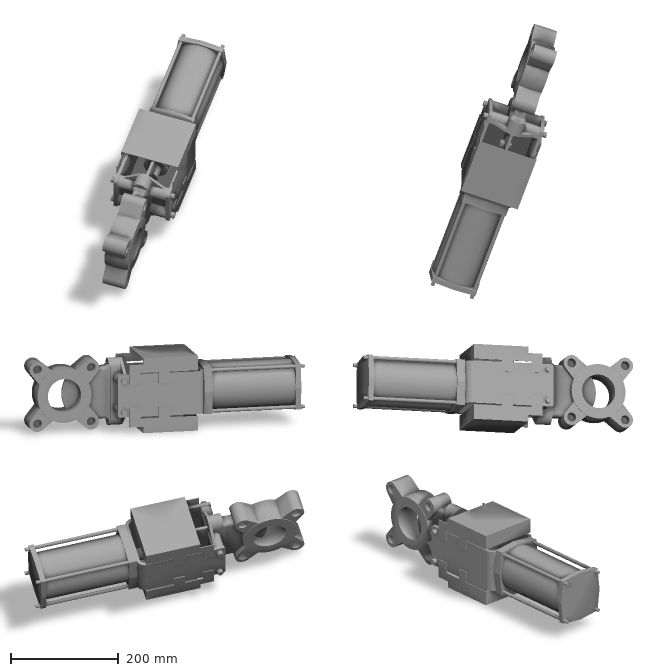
import cadquery as cq
import math


OVERALL_LENGTH = 520.5

BORE_RADIUS = 31.5
RING_RADIUS = 52.5
RING_DRAFT = 1.0
RING_HALF_WIDTH = 23.0
LUG_SPACING = 102.5
LUG_OFFSET = LUG_SPACING / 2
LUG_RADIUS = 15.0
LUG_ROOT_HALF_HEIGHT = 20.0
LUG_HALF_WIDTH = 22.0
LUG_HOLE_RADIUS = 8.5
LUG_HOLE_DEPTH = 15.5

NECK_HALF_WIDTH = 12.0
NECK_HALF_HEIGHT = 49.5
NECK_EDGE_RADIUS = 6.0
NECK_CORE_HALF_HEIGHT = 31.0
FLARE_LENGTH = 6.0
FLARE_GROWTH_X = 2.5
FLARE_GROWTH_Z = 3.5

BOX_END = 87.0
BOX_TOP = 114.0
BOX_LIP_TOP = 90.0
BOX_HALF_WIDTH = 15.5
BOX_HALF_HEIGHT = 63.5
LIP_INSET = 1.0

FLANGE_THICKNESS = 5.0
FLANGE_HALF_HEIGHT = 38.5
GUSSET_FOOT_X = 39.5
GUSSET_TOP_X = 11.5
GUSSET_TOP_Z = 59.5
BOSS_RADIUS = 11.0
BOLT_Y = 105.0
BOLT_Z = 29.5
BOLT_RADIUS = 5.0
BOLT_END_X = 62.0

YOKE_HALF_WIDTH = 54.0
YOKE_HALF_HEIGHT = 40.0
YOKE_THICKNESS = 6.0
YOKE_END = 94.0
YOKE_TOP = 261.0
YOKE_BEND_RADIUS = 15.0
YOKE_CORNER_RADIUS = 5.0

GUARD_THICKNESS = 1.5
GUARD_TOP = 246.5
GUARD_HEIGHT = 142.0
GUARD_HALF_HEIGHT = GUARD_HEIGHT / 2
GUARD_EDGE_Z = 43.0
GUARD_LENGTH = 104.0
GUARD_SKIRT_Z = 59.0
TAB_Z = 22.5
TAB_WIDTH = 21.0
TAB_ENDS = (116.0, 172.0)

CAP_CORNER = 43.0
CAP_WIDTH = 96.0
CAP_CREST = CAP_WIDTH / 2
LOWER_CAP_THICKNESS = 15.5
UPPER_CAP_THICKNESS = 10.0
BARREL_RADIUS = 45.0
BARREL_LENGTH = 159.0
TIE_ROD_OFFSET = 38.5
TIE_ROD_RADIUS = 3.4
CYLINDER_END = OVERALL_LENGTH - LUG_OFFSET - LUG_RADIUS

GATE_THICKNESS = 5.0
GATE_HALF_HEIGHT = 40.0
GATE_END_RADIUS = 57.0
GATE_TOP = 197.5
STEM_RADIUS = 11.5
STEM_END = 154.0
COLLAR_RADIUS = 23.0
COLLAR_START = 176.0
COLLAR_LENGTH = 15.5


def box(x0, x1, y0, y1, z0, z1):
    """Box between two opposite corners."""
    return cq.Workplane("XY").box(x1 - x0, y1 - y0, z1 - z0, centered=False).translate((x0, y0, z0))


def centred_box(half_x, y0, y1, half_z):
    """Box centred on the stem axis."""
    return box(-half_x, half_x, y0, y1, -half_z, half_z)


def x_cylinder(radius, y, z, half_length):
    """Cylinder along X, centred on X = 0."""
    return cq.Workplane("YZ").center(y, z).circle(radius).extrude(half_length, both=True)


def y_cylinder(radius, x, z, y0, y1):
    """Cylinder along Y from y0 up to y1; the XZ plane faces -Y, so the extrusion is negative."""
    return cq.Workplane("XZ", origin=(x, y0, z)).circle(radius).extrude(y0 - y1)


def make_ring():
    """Ring blank, widest at the mid plane."""
    face_radius = RING_RADIUS - RING_DRAFT
    rim_profile = [
        (-RING_HALF_WIDTH, 0),
        (-RING_HALF_WIDTH, face_radius),
        (0, RING_RADIUS),
        (RING_HALF_WIDTH, face_radius),
        (RING_HALF_WIDTH, 0),
    ]
    return cq.Workplane("XY").polyline(rim_profile).close().revolve(360, (0, 0, 0), (1, 0, 0))


def make_lug(angle):
    """Lug pointing away from the bore at an angle in the YZ plane."""
    reach = LUG_OFFSET * math.sqrt(2)
    arm_outline = [
        (BORE_RADIUS, -LUG_ROOT_HALF_HEIGHT),
        (reach, -LUG_RADIUS),
        (reach, LUG_RADIUS),
        (BORE_RADIUS, LUG_ROOT_HALF_HEIGHT),
    ]
    arm = cq.Workplane("YZ").polyline(arm_outline).close().extrude(LUG_HALF_WIDTH, both=True)
    lug = arm.union(x_cylinder(LUG_RADIUS, reach, 0, LUG_HALF_WIDTH))
    return lug.rotate((0, 0, 0), (1, 0, 0), angle)


def make_lug_hole_pair(y, z):
    """Blind hole from each face of one lug."""
    hole = x_cylinder(LUG_HOLE_RADIUS, y, z, LUG_HALF_WIDTH)
    web = x_cylinder(LUG_HOLE_RADIUS, y, z, LUG_HALF_WIDTH - LUG_HOLE_DEPTH)
    return hole.cut(web)


def neck_section(growth_x, growth_z):
    """Rounded rectangle, larger than the neck by the given growth on each side."""
    width = 2 * (NECK_HALF_WIDTH + growth_x)
    height = 2 * (NECK_HALF_HEIGHT + growth_z)
    return cq.Sketch().rect(width, height).vertices().fillet(NECK_EDGE_RADIUS)


def make_neck():
    """Neck that starts between the two upper lugs and flares into the packing box."""
    core = centred_box(NECK_HALF_WIDTH, 0, LUG_OFFSET, NECK_CORE_HALF_HEIGHT)
    flare_start = BOX_END - FLARE_LENGTH
    straight = (
        cq.Workplane("XZ", origin=(0, flare_start, 0))
        .placeSketch(neck_section(0, 0))
        .extrude(flare_start - LUG_OFFSET)
    )
    to_box = cq.Location(cq.Vector(0, 0, -FLARE_LENGTH))
    wide_end = neck_section(FLARE_GROWTH_X, FLARE_GROWTH_Z).moved(to_box)
    flare = (
        cq.Workplane("XZ", origin=(0, flare_start, 0))
        .placeSketch(neck_section(0, 0), wide_end)
        .loft()
    )
    return core.union(straight).union(flare)


def make_packing_box():
    """Box with rounded ends, and a slightly narrower lip next to the neck."""
    slot_length = 2 * BOX_HALF_HEIGHT
    rounded = cq.Workplane("XZ", origin=(0, BOX_TOP, 0)).slot2D(slot_length, 2 * BOX_HALF_WIDTH, 90)
    body = rounded.extrude(BOX_TOP - BOX_LIP_TOP)
    lip = (
        cq.Workplane("XZ", origin=(0, BOX_LIP_TOP, 0))
        .slot2D(slot_length, 2 * (BOX_HALF_WIDTH - LIP_INSET), 90)
        .extrude(BOX_LIP_TOP - BOX_END)
    )
    return body.union(lip)


def make_flange():
    """Flange plate with gussets, and two rounded bosses running across to the yoke sides."""
    half_width = YOKE_HALF_WIDTH - YOKE_THICKNESS
    corner = [
        (half_width, FLANGE_HALF_HEIGHT),
        (GUSSET_FOOT_X, FLANGE_HALF_HEIGHT),
        (GUSSET_TOP_X, GUSSET_TOP_Z),
    ]
    upper = corner + [(-x, z) for x, z in reversed(corner)]
    lower = [(-x, -z) for x, z in upper]
    outline = cq.Workplane("XZ", origin=(0, BOX_TOP, 0)).polyline(upper + lower).close()
    flange = outline.extrude(FLANGE_THICKNESS)
    boss_z = FLANGE_HALF_HEIGHT - BOSS_RADIUS
    for side in (1, -1):
        boss = x_cylinder(BOSS_RADIUS, BOLT_Y, side * boss_z, half_width)
        back = centred_box(half_width, BOLT_Y, BOX_TOP, BOSS_RADIUS).translate((0, 0, side * boss_z))
        flange = flange.union(boss).union(back)
    return flange


def make_yoke():
    """Bent strip: a cross plate under the cylinder and two side plates."""
    outer = centred_box(YOKE_HALF_WIDTH, YOKE_END, YOKE_TOP, YOKE_HALF_HEIGHT)
    outer = outer.edges("|Z and >Y").fillet(YOKE_BEND_RADIUS)
    outer = outer.edges("|X and <Y").fillet(YOKE_CORNER_RADIUS)
    inner = centred_box(
        YOKE_HALF_WIDTH - YOKE_THICKNESS, YOKE_END, YOKE_TOP - YOKE_THICKNESS, YOKE_HALF_HEIGHT
    )
    inner = inner.edges("|Z and >Y").fillet(YOKE_BEND_RADIUS - YOKE_THICKNESS)
    return outer.cut(inner)


def make_guard():
    """Upper sheet guard: top, end wall and two side sheets with tabs lying on the yoke."""
    guard_end = GUARD_TOP - GUARD_LENGTH
    tab_start = TAB_ENDS[0]
    half_width = YOKE_HALF_WIDTH + GUARD_THICKNESS
    guard = box(-half_width, half_width, guard_end, GUARD_TOP, GUARD_EDGE_Z, GUARD_HALF_HEIGHT)
    guard = guard.union(box(-half_width, half_width, tab_start, guard_end, GUARD_EDGE_Z, GUARD_SKIRT_Z))
    for tab_end in TAB_ENDS:
        guard = guard.union(box(-half_width, half_width, tab_end, tab_end + TAB_WIDTH, TAB_Z, GUARD_EDGE_Z))
    hollow = box(
        -YOKE_HALF_WIDTH, YOKE_HALF_WIDTH,
        tab_start, GUARD_TOP - GUARD_THICKNESS,
        TAB_Z, GUARD_HALF_HEIGHT - GUARD_THICKNESS,
    )
    return guard.cut(hollow)


def make_cap(y0, y1):
    """Square cap whose four sides each rise to a low crest in the middle."""
    outline = [
        (CAP_CREST, 0),
        (CAP_CORNER, CAP_CORNER),
        (0, CAP_CREST),
        (-CAP_CORNER, CAP_CORNER),
        (-CAP_CREST, 0),
        (-CAP_CORNER, -CAP_CORNER),
        (0, -CAP_CREST),
        (CAP_CORNER, -CAP_CORNER),
    ]
    return cq.Workplane("XZ", origin=(0, y0, 0)).polyline(outline).close().extrude(y0 - y1)


def make_cylinder():
    """Barrel between two caps, with four tie rods that reach past the upper cap."""
    barrel_start = YOKE_TOP + LOWER_CAP_THICKNESS
    barrel_end = barrel_start + BARREL_LENGTH
    cylinder = y_cylinder(BARREL_RADIUS, 0, 0, barrel_start, barrel_end)
    cylinder = cylinder.union(make_cap(YOKE_TOP, barrel_start))
    cylinder = cylinder.union(make_cap(barrel_end, barrel_end + UPPER_CAP_THICKNESS))
    for x in (-TIE_ROD_OFFSET, TIE_ROD_OFFSET):
        for z in (-TIE_ROD_OFFSET, TIE_ROD_OFFSET):
            cylinder = cylinder.union(y_cylinder(TIE_ROD_RADIUS, x, z, barrel_start, CYLINDER_END))
    return cylinder


def make_gate():
    """Half-open gate plate with an arched end, and the collared stem that carries it."""
    shoulder = GATE_END_RADIUS - math.sqrt(GATE_END_RADIUS**2 - GATE_HALF_HEIGHT**2)
    plate = (
        cq.Workplane("YZ")
        .moveTo(GATE_TOP, GATE_HALF_HEIGHT)
        .lineTo(shoulder, GATE_HALF_HEIGHT)
        .threePointArc((0, 0), (shoulder, -GATE_HALF_HEIGHT))
        .lineTo(GATE_TOP, -GATE_HALF_HEIGHT)
        .close()
        .extrude(GATE_THICKNESS / 2, both=True)
    )
    stem = y_cylinder(STEM_RADIUS, 0, 0, STEM_END, YOKE_TOP)
    collar = y_cylinder(COLLAR_RADIUS, 0, 0, COLLAR_START, COLLAR_START + COLLAR_LENGTH)
    return plate.union(stem).union(collar)


def make_valve(gate):
    """Fixed body: ring, lugs, neck, packing box, flange, yoke, guards and cylinder."""
    valve = make_ring().union(make_neck())
    for angle in (45, 135, 225, 315):
        valve = valve.union(make_lug(angle))
    valve = valve.cut(x_cylinder(BORE_RADIUS, 0, 0, RING_HALF_WIDTH))
    valve = valve.union(make_packing_box()).union(make_flange()).union(make_yoke())
    for y in (-LUG_OFFSET, LUG_OFFSET):
        for z in (-LUG_OFFSET, LUG_OFFSET):
            valve = valve.cut(make_lug_hole_pair(y, z))
    for z in (-BOLT_Z, BOLT_Z):
        valve = valve.union(x_cylinder(BOLT_RADIUS, BOLT_Y, z, BOLT_END_X))
    upper_guard = make_guard()
    valve = valve.union(upper_guard).union(upper_guard.mirror("XY"))
    valve = valve.union(make_cylinder())
    return valve.cut(gate)


gate = make_gate()
valve = make_valve(gate)
result = cq.Compound.makeCompound([valve.val(), gate.val()])